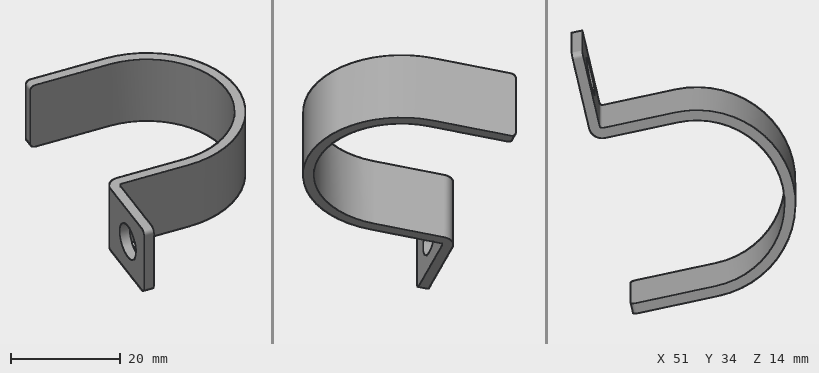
import cadquery as cq
import math

length = 51.0
width = 14.0
thickness = 2.0
outer_radius = 18.0
leg_length = 16.0
inner_bend_radius = 0.5
corner_radius = 1.0
hole_diameter = 7.0
hole_to_end = 7.05

inner_radius = outer_radius - thickness
outer_bend_radius = inner_bend_radius + thickness
base_y = -leg_length
flange_top_y = base_y + thickness
flange_end_x = length - outer_radius
bend_x = inner_radius + outer_bend_radius
bend_y = base_y + outer_bend_radius


def bend_midpoint(radius):
    """Middle of the quarter-circle bend between leg and flange."""
    offset = radius * math.sqrt(0.5)
    return (bend_x - offset, bend_y - offset)


def strip():
    """Bent strip profile, extruded across its width."""
    return (
        cq.Workplane("XY")
        .moveTo(-outer_radius, base_y)
        .lineTo(-outer_radius, 0)
        .threePointArc((0, outer_radius), (outer_radius, 0))
        .lineTo(outer_radius, bend_y)
        .threePointArc(bend_midpoint(inner_bend_radius), (bend_x, flange_top_y))
        .lineTo(flange_end_x, flange_top_y)
        .lineTo(flange_end_x, base_y)
        .lineTo(bend_x, base_y)
        .threePointArc(bend_midpoint(outer_bend_radius), (inner_radius, bend_y))
        .lineTo(inner_radius, 0)
        .threePointArc((0, inner_radius), (-inner_radius, 0))
        .lineTo(-inner_radius, base_y)
        .close()
        .extrude(width)
    )


def mounting_hole():
    """Cylinder through the flange along Y."""
    return (
        cq.Workplane("XZ", origin=(flange_end_x - hole_to_end, flange_top_y, width / 2))
        .circle(hole_diameter / 2)
        .extrude(thickness)
    )


body = strip().faces(">X").edges("|Y").fillet(corner_radius)
body = body.faces("<Y").edges("|X").edges("<X").fillet(corner_radius)

result = body.cut(mounting_hole())